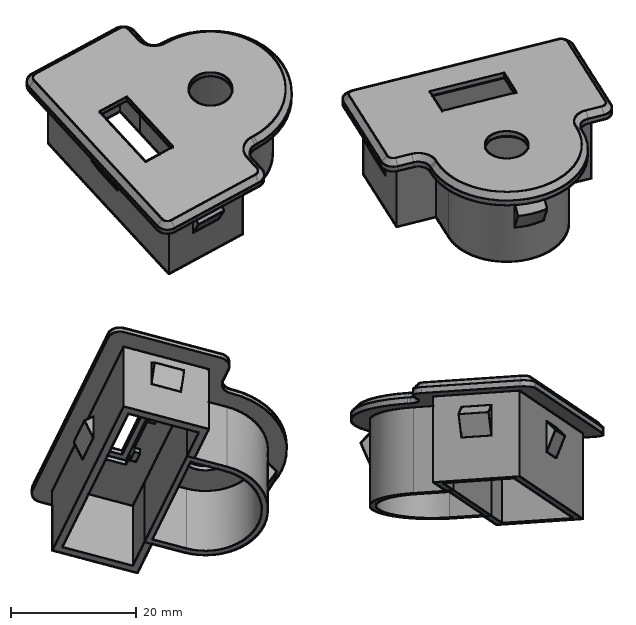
import cadquery as cq


plate_width = 39.5
plate_thickness = 1.98
plate_chamfer = 1.0
lobe_radius = 13.0
plate_front_y = -23.0
shoulder_y = -2.5
corner_radius = 2.0

total_height = 16.0
overhang = 3.0
box_wall = 1.25
neck_wall = 1.0

hole_diameter = 7.0
counterbore_diameter = 9.0

lip_thickness = 1.0
slot_width = 12.8
slot_depth = 5.37
slot_center_y = -14.55
pocket_margin = 1.0
block_width = 1.98
block_depth = 1.0
block_height = 1.0
block_center_x = 4.42

catch_width = 5.0
catch_reach = 1.5
catch_top_z = -4.0
catch_tip_z = -5.5
catch_bottom_z = -9.0

box_half_width = plate_width / 2 - overhang
box_front_y = plate_front_y + overhang
box_rear_y = shoulder_y - overhang
box_center_y = (box_front_y + box_rear_y) / 2
neck_radius = lobe_radius - overhang
neck_front_y = box_rear_y - box_wall
wall_height = total_height - plate_thickness
pocket_rear_y = slot_center_y + slot_depth / 2 + pocket_margin


def block(x_min, x_max, y_min, y_max, z_top, height):
    """Rectangular block that hangs down from z_top."""
    size = (x_max - x_min, y_max - y_min, height)
    return cq.Workplane("XY").box(*size, centered=False).translate((x_min, y_min, z_top - height))


def d_prism(radius, front_y):
    """D-shaped prism over the wall height: round at the rear, flat at front_y."""
    return (
        cq.Workplane("XY", origin=(0, 0, -total_height))
        .moveTo(-radius, front_y)
        .lineTo(radius, front_y)
        .lineTo(radius, 0)
        .threePointArc((0, radius), (-radius, 0))
        .close()
        .extrude(wall_height)
    )


def catch_profile(plane, base):
    """Triangular section of a catch, embedded by one neck wall behind its base."""
    return cq.Workplane(plane).polyline(
        [
            (base - neck_wall, catch_top_z),
            (base, catch_top_z),
            (base + catch_reach, catch_tip_z),
            (base, catch_bottom_z),
            (base - neck_wall, catch_bottom_z),
        ]
    ).close()


def straight_catch(base, angle):
    """Catch on a flat wall at distance base from the box centre, turned about Z by angle."""
    catch = catch_profile("XZ", base).extrude(catch_width / 2, both=True)
    return catch.rotate((0, 0, 0), (0, 0, 1), angle).translate((0, box_center_y, 0))


def make_plate():
    """Plate with a round rear lobe, rounded corners and a chamfered top edge."""
    half_width = plate_width / 2
    plate = (
        cq.Workplane("XY", origin=(0, 0, -plate_thickness))
        .moveTo(-half_width, plate_front_y)
        .lineTo(half_width, plate_front_y)
        .lineTo(half_width, shoulder_y)
        .lineTo(lobe_radius, shoulder_y)
        .lineTo(lobe_radius, 0)
        .threePointArc((0, lobe_radius), (-lobe_radius, 0))
        .lineTo(-lobe_radius, shoulder_y)
        .lineTo(-half_width, shoulder_y)
        .close()
        .extrude(plate_thickness)
    )
    corner_edges = cq.selectors.BoxSelector(
        (-plate_width, plate_front_y - corner_radius, -plate_thickness),
        (plate_width, shoulder_y + corner_radius, 0),
    )
    plate = plate.edges("|Z").edges(corner_edges).fillet(corner_radius)
    return plate.faces(">Z").edges().chamfer(plate_chamfer)


def make_openings():
    """Round and rectangular openings, each wider below a thin lip."""
    hole = cq.Workplane("XY").circle(hole_diameter / 2).extrude(-plate_thickness)
    counterbore = (
        cq.Workplane("XY", origin=(0, 0, -lip_thickness))
        .circle(counterbore_diameter / 2)
        .extrude(lip_thickness - plate_thickness)
    )
    slot = (
        cq.Workplane("XY")
        .center(0, slot_center_y)
        .rect(slot_width, slot_depth)
        .extrude(-plate_thickness)
    )
    pocket = (
        cq.Workplane("XY", origin=(0, slot_center_y, -lip_thickness))
        .rect(slot_width + 2 * pocket_margin, slot_depth + 2 * pocket_margin)
        .extrude(lip_thickness - plate_thickness)
    )
    return hole.union(counterbore).union(slot).union(pocket)


def make_box():
    """Open-bottomed box with catches on its two sides and its front."""
    box = block(-box_half_width, box_half_width, box_front_y, box_rear_y, -plate_thickness, wall_height)
    box = box.union(straight_catch(box_half_width, 0))
    box = box.union(straight_catch(box_half_width, 180))
    box = box.union(straight_catch(box_center_y - box_front_y, -90))
    inner_half_width = box_half_width - box_wall
    cavity = block(
        -inner_half_width, inner_half_width,
        box_front_y + box_wall, box_rear_y - box_wall,
        -plate_thickness, wall_height,
    )
    return box.cut(cavity)


def make_locating_block(center_x):
    """Small block under the plate at the rear edge of the pocket."""
    return block(
        center_x - block_width / 2, center_x + block_width / 2,
        pocket_rear_y, pocket_rear_y + block_depth,
        -plate_thickness, block_height,
    )


def make_cover():
    """Plate and box, notched at the rear to receive the neck."""
    cover = make_plate().cut(make_openings()).union(make_box())
    for center_x in (-block_center_x, block_center_x):
        cover = cover.union(make_locating_block(center_x))
    return cover.cut(d_prism(neck_radius, neck_front_y))


def make_neck():
    """D-shaped sleeve with a curved catch at the rear."""
    ring = catch_profile("XZ", neck_radius).revolve(360, (0, 0, 0), (0, 1, 0))
    catch_zone = block(-catch_width / 2, catch_width / 2, 0, lobe_radius, 0, total_height)
    outside = d_prism(neck_radius, neck_front_y).union(ring.intersect(catch_zone))
    return outside.cut(d_prism(neck_radius - neck_wall, neck_front_y + neck_wall))


cover = make_cover()
neck = make_neck()

result = cq.Compound.makeCompound([cover.solids().val(), neck.solids().val()])